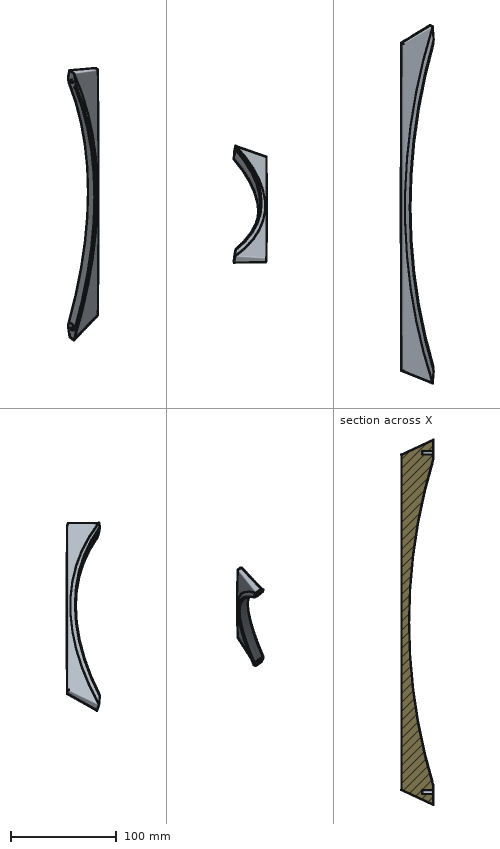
import cadquery as cq

length = 345.0
depth = 30.5
width = 11.7

mid_thickness = 7.5
grip_radius = 528.0
crown_half_width = 5.0
crown_rise = 0.7
shoulder_depth = 2.0
grip_depth = 6.0
sweep_angle = 50.0

back_length = 316.7
fin_root_width = 7.0
fin_thin_width = 4.0
fin_taper_length = 31.0
fin_edge_round = 1.0

hole_diameter = 3.0
hole_depth = 10.5
hole_height = 160.0

front_y = -depth / 2
back_y = depth / 2
ridge_y = back_y - mid_thickness
axis_y = ridge_y - grip_radius
shoulder_y = ridge_y + shoulder_depth
fin_root_y = ridge_y + grip_depth
envelope = cq.Workplane("XY").box(width, depth, length)


def sweep_about_grip_axis(section):
    """Revolve a section equally up and down about the X-parallel axis of the grip arc."""
    axis_start = (0, axis_y, 0)
    axis_end = (1, axis_y, 0)
    swept = section.revolve(sweep_angle, axis_start, axis_end)
    return swept.rotate(axis_start, axis_end, -sweep_angle / 2)


def make_grip():
    """Crowned front, widest at the shoulders, with flanks sloping in to the fin."""
    half_width = width / 2
    crown_y = ridge_y + crown_rise
    section = (
        cq.Workplane("XY")
        .moveTo(-fin_root_width / 2, fin_root_y)
        .lineTo(-half_width, shoulder_y)
        .lineTo(-crown_half_width, crown_y)
        .threePointArc((0, ridge_y), (crown_half_width, crown_y))
        .lineTo(half_width, shoulder_y)
        .lineTo(fin_root_width / 2, fin_root_y)
        .close()
    )
    return sweep_about_grip_axis(section).intersect(envelope)


def make_fin():
    """Tapering web with slanted ends and a straight back, all outer edges rounded."""
    thin_y = fin_root_y + fin_taper_length
    taper = (fin_root_width - fin_thin_width) / fin_taper_length
    buried_width = fin_root_width + taper * (fin_root_y - shoulder_y)
    section = (
        cq.Workplane("XY")
        .moveTo(-buried_width / 2, shoulder_y)
        .lineTo(buried_width / 2, shoulder_y)
        .lineTo(fin_thin_width / 2, thin_y)
        .lineTo(-fin_thin_width / 2, thin_y)
        .close()
    )
    end_slope = (length - back_length) / 2 / depth
    overrun_y = front_y - depth
    overrun_z = length / 2 + depth * end_slope
    outline = (
        cq.Workplane("YZ")
        .moveTo(overrun_y, -overrun_z)
        .lineTo(back_y, -back_length / 2)
        .lineTo(back_y, back_length / 2)
        .lineTo(overrun_y, overrun_z)
        .close()
        .extrude(width, both=True)
    )
    web = sweep_about_grip_axis(section).intersect(outline)
    outer_edges = web.edges("(not |X) and (not %CIRCLE)")
    return outer_edges.fillet(fin_edge_round).intersect(envelope)


def cut_screw_holes(body):
    """Blind holes square to the two flat mounting pads."""
    for z in (-hole_height, hole_height):
        hole = (
            cq.Workplane("XZ", origin=(0, front_y, z))
            .circle(hole_diameter / 2)
            .extrude(-hole_depth)
        )
        body = body.cut(hole)
    return body


handle = make_fin().union(make_grip())
result = cut_screw_holes(handle)